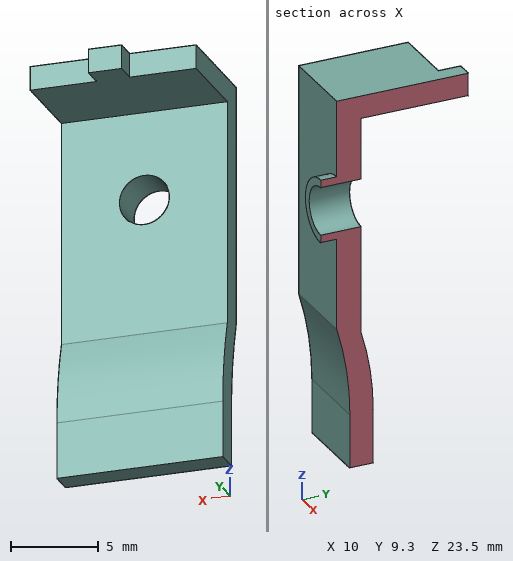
import cadquery as cq
import math

width = 10.0
height = 23.5

plate_thickness = 1.55
front_bend_start = 14.5
back_bend_start = 15.0

tail_offset = 0.83
tail_thickness = 1.5
tail_length = 3.4

flange_thickness = 1.45
flange_reach = 6.9
tab_width = 2.0
tab_length = 1.4

boss_diameter = 4.0
boss_height = 1.0
bore_diameter = 3.0
boss_depth_below_top = 6.8


def sweep_midpoint(start, end):
    """Halfway point of the arc from start to end that arrives at end vertically."""
    rise = start[1] - end[1]
    step = end[0] - start[0]
    radius = (rise**2 + step**2) / (2 * step)
    half_angle = math.asin(rise / radius) / 2
    return (
        end[0] - radius * (1 - math.cos(half_angle)),
        end[1] + radius * math.sin(half_angle),
    )


def make_bracket():
    """Flange, plate and curved tail as one side profile (Y, Z) extruded along X."""
    tail_top = tail_length - height
    tail_back = tail_offset + tail_thickness
    front_start = (0, -front_bend_start)
    front_end = (tail_offset, tail_top)
    back_start = (plate_thickness, -back_bend_start)
    back_end = (tail_back, tail_top)
    return (
        cq.Workplane("YZ")
        .moveTo(0, 0)
        .lineTo(*front_start)
        .threePointArc(sweep_midpoint(front_start, front_end), front_end)
        .lineTo(tail_offset, -height)
        .lineTo(tail_back, -height)
        .lineTo(*back_end)
        .threePointArc(sweep_midpoint(back_start, back_end), back_start)
        .lineTo(plate_thickness, -flange_thickness)
        .lineTo(flange_reach, -flange_thickness)
        .lineTo(flange_reach, 0)
        .close()
        .extrude(width / 2, both=True)
    )


def make_tab():
    """Narrow tab that continues the flange at the middle of its rear edge."""
    return (
        cq.Workplane("XY")
        .box(tab_width, tab_length, flange_thickness, centered=(True, False, False))
        .translate((0, flange_reach, -flange_thickness))
    )


def front_cylinder(diameter, length):
    """Cylinder on the boss axis, running in +Y from the front end of the boss."""
    return (
        cq.Workplane("XZ", origin=(0, -boss_height, -boss_depth_below_top))
        .circle(diameter / 2)
        .extrude(-length)
    )


bore_length = boss_height + plate_thickness
boss = front_cylinder(boss_diameter, bore_length)
bore = front_cylinder(bore_diameter, bore_length)

result = make_bracket().union(make_tab()).union(boss).cut(bore)